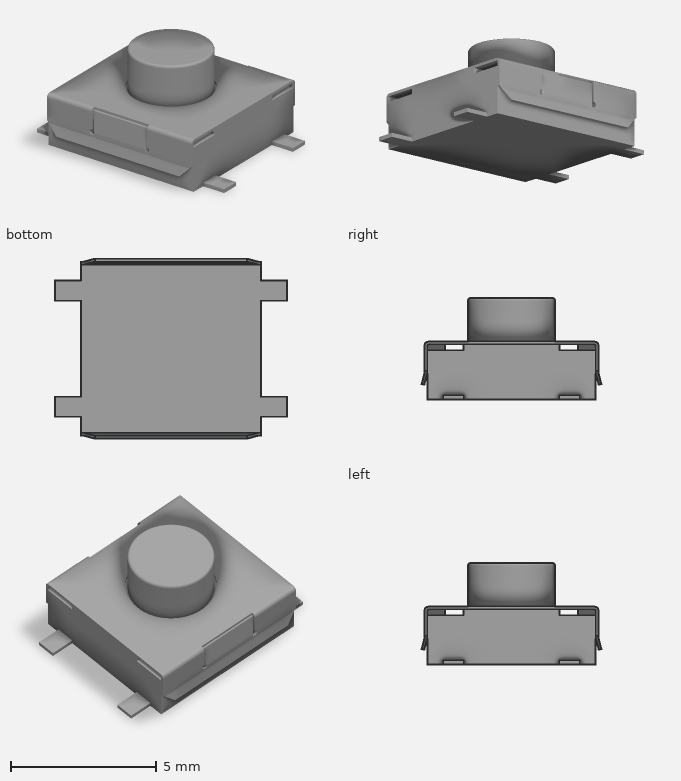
import cadquery as cq
import math

lead_span = 8.0
body_length = 6.2
base_width = 5.8
sheet = 0.1
cover_top = 2.0
inner_bend = 0.05

button_diameter = 3.0
button_hole_diameter = 3.15
button_top = 3.5
button_edge_radius = 0.1

lead_width = 0.7
lead_thickness = 0.14
lead_pitch = 4.0

channel_floor = 1.7
channel_inner_y = 1.66
channel_outer_y = 2.29

window_width = 2.36
window_floor = 1.0
relief_radius = 0.1
wedge_step = 0.1

skirt_bend = 0.9
skirt_flare = 15.0
skirt_spread = 6.2
skirt_corner_top = 1.0

base_top = cover_top - sheet
half_base = base_width / 2
half_cover = half_base + sheet
outer_bend = inner_bend + sheet
half_length = body_length / 2
half_window = window_width / 2
relief_z = window_floor + relief_radius


def span_box(x_range, y_range, z_range):
    """Box between two limits on each axis."""
    sizes = [high - low for low, high in (x_range, y_range, z_range)]
    corner = (x_range[0], y_range[0], z_range[0])
    return cq.Workplane("XY").box(*sizes, centered=False).translate(corner)


def on_both_walls(feature):
    """The feature together with its mirror image on the opposite Y wall."""
    return feature.union(feature.mirror("XZ"))


def make_channels():
    """One channel along X, widened at both ends so that it opens towards the cover wall."""
    height_range = (channel_floor, base_top)
    cuts = span_box((-half_length, half_length), (channel_inner_y, channel_outer_y), height_range)
    for x_range in ((-half_length, -half_window), (half_window, half_length)):
        cuts = cuts.union(span_box(x_range, (channel_outer_y, half_base), height_range))
    return on_both_walls(cuts)


def make_wedges():
    """Snap wedge that swells downwards to the cover's outer face, with 45 degree flanks."""
    slope_start = base_top - inner_bend
    side_profile = [
        (half_base, slope_start),
        (half_cover, window_floor + wedge_step),
        (half_cover, window_floor),
        (half_base, window_floor),
    ]
    plan_profile = [
        (-half_window, half_base),
        (-half_window + sheet, half_cover),
        (half_window - sheet, half_cover),
        (half_window, half_base),
    ]
    slope = cq.Workplane("YZ").polyline(side_profile).close().extrude(half_window, both=True)
    flanks = cq.Workplane("XY").polyline(plan_profile).close().extrude(base_top)
    return on_both_walls(slope.intersect(flanks))


def make_base():
    """Base with its leads, snap wedges and button."""
    base = cq.Workplane("XY").box(body_length, base_width, base_top, centered=(True, True, False))
    base = base.edges("|X and >Z").fillet(inner_bend)
    base = base.cut(make_channels()).union(make_wedges())
    for side in (-1, 1):
        lead = cq.Workplane("XY").box(lead_span, lead_width, lead_thickness, centered=(True, True, False))
        base = base.union(lead.translate((0, side * lead_pitch / 2, 0)))
    button = cq.Workplane("XY").circle(button_diameter / 2).extrude(button_top)
    button = button.faces(">Z").edges().fillet(button_edge_radius)
    return base.union(button)


def make_half_shell():
    """Half of the cover on the +Y side: roof, bend, wall and flared skirt."""
    flare = math.radians(skirt_flare)
    tip_y = skirt_spread / 2
    tip_z = skirt_bend - (tip_y - half_cover) / math.tan(flare)
    inner_tip = (tip_y - sheet * math.cos(flare), tip_z - sheet * math.sin(flare))
    inner_skirt_bend = skirt_bend - sheet * math.tan(flare / 2)
    bend_y = half_base - inner_bend
    bend_z = base_top - inner_bend
    diagonal = math.sqrt(0.5)
    return (
        cq.Workplane("YZ")
        .moveTo(0, cover_top)
        .lineTo(bend_y, cover_top)
        .threePointArc(
            (bend_y + outer_bend * diagonal, bend_z + outer_bend * diagonal), (half_cover, bend_z)
        )
        .lineTo(half_cover, skirt_bend)
        .lineTo(tip_y, tip_z)
        .lineTo(*inner_tip)
        .lineTo(half_base, inner_skirt_bend)
        .lineTo(half_base, bend_z)
        .threePointArc(
            (bend_y + inner_bend * diagonal, bend_z + inner_bend * diagonal), (bend_y, base_top)
        )
        .lineTo(0, base_top)
        .close()
        .extrude(half_length, both=True)
    )


def make_skirt_outline():
    """Front outline of the cover, with its lower corners cut off at 45 degrees, as a block."""
    outline = [
        (-half_length, cover_top),
        (-half_length, skirt_corner_top),
        (-half_length + skirt_corner_top, 0),
        (half_length - skirt_corner_top, 0),
        (half_length, skirt_corner_top),
        (half_length, cover_top),
    ]
    return cq.Workplane("XZ").polyline(outline).close().extrude(skirt_spread / 2, both=True)


def make_windows():
    """Window through each cover wall and bend, with a round-ended slot along its floor."""
    opening = span_box(
        (-half_window, half_window), (half_base - inner_bend, half_cover), (window_floor, cover_top)
    )
    slot = (
        cq.Workplane("XZ", origin=(0, half_cover, relief_z))
        .slot2D(window_width + 2 * relief_radius, 2 * relief_radius)
        .extrude(sheet)
    )
    slot = slot.intersect(span_box((-half_length, half_length), (half_base, half_cover), (0, cover_top)))
    return on_both_walls(opening.union(slot))


def make_cover():
    """Sheet cover folded over the base, with a hole for the button."""
    cover = on_both_walls(make_half_shell())
    cover = cover.intersect(make_skirt_outline()).cut(make_windows())
    hole = cq.Workplane("XY").circle(button_hole_diameter / 2).extrude(cover_top)
    return cover.cut(hole)


base = make_base()
cover = make_cover()
result = cq.Compound.makeCompound([base.val(), cover.val()])